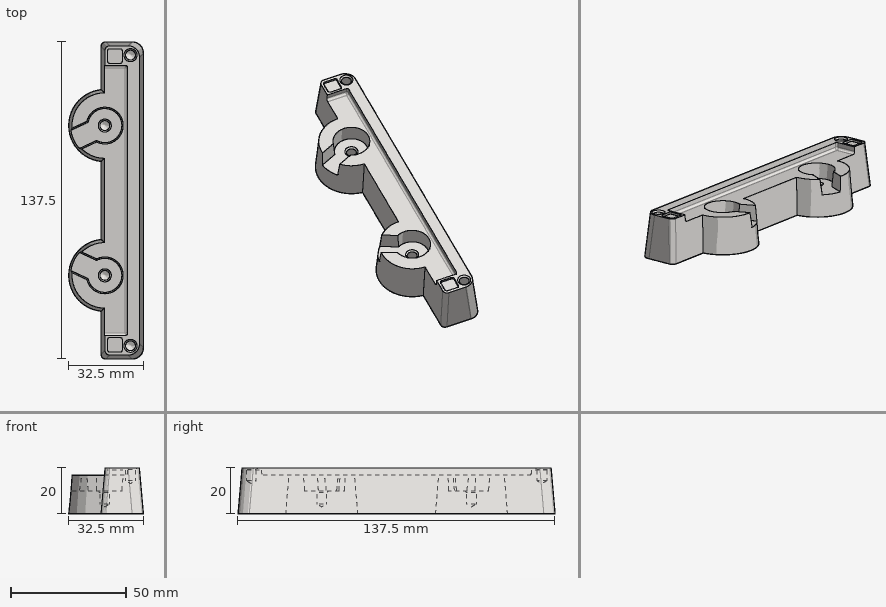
import cadquery as cq
import math

WIDTH = 32.5
LENGTH = 137.5
HEIGHT = 20.0
DRAFT = 5.0

BAR_WIDTH = 18.4
BAR_LEFT = WIDTH - BAR_WIDTH
BACK_CORNER_RADIUS = 5.0
FRONT_CORNER_RADIUS = 2.0

RECESS_LENGTH = 116.9
RECESS_BACK = 25.6
RECESS_DEPTH = 3.2
RECESS_FILLET = 1.1
RECESS_CORNER_RADIUS = 0.8
LEDGE_Z = HEIGHT - RECESS_DEPTH

BOSS_RADIUS = 15.7
BOSS_Y = 32.5
SOCKET_RADIUS = 8.0
SOCKET_DEPTH = 6.9
SOCKET_FLOOR_Z = LEDGE_Z - SOCKET_DEPTH
SLOT_WIDTH = 9.9
SOCKET_DRAFT = 5.0
SLOT_ANGLE = 25.0

HOLE_DIAMETER = 4.3
MOUTH_DIAMETER = 5.6
HOLE_DEPTH = 5.5
DRILL_POINT_ANGLE = 118.0
END_HOLE_X = 26.8
END_HOLE_Y = 63.0

POCKET_SIZE = 6.3
POCKET_DEPTH = 1.0
POCKET_CORNER_RADIUS = 0.8
POCKET_X = 20.1
POCKET_Y = 62.5


def make_bar():
    """Drafted bar with rounded upright corners."""
    bar = (
        cq.Workplane("XY")
        .center(BAR_LEFT + BAR_WIDTH / 2, 0)
        .rect(BAR_WIDTH, LENGTH)
        .extrude(HEIGHT, taper=DRAFT)
    )
    bar = bar.edges("not(#Z)").edges("<X").fillet(FRONT_CORNER_RADIUS)
    return bar.edges("not(#Z)").edges(">X").fillet(BACK_CORNER_RADIUS)


def make_recess():
    """Cutter open towards the bosses, with a filleted floor edge."""
    cutter = (
        cq.Workplane("XY", origin=(0, 0, LEDGE_Z))
        .center(RECESS_BACK / 2, 0)
        .rect(RECESS_BACK, RECESS_LENGTH)
        .extrude(RECESS_DEPTH)
    )
    cutter = cutter.edges("|Z and >X").fillet(RECESS_CORNER_RADIUS)
    return cutter.faces("<Z").edges("not(<X)").fillet(RECESS_FILLET)


def make_boss(y):
    """Drafted round boss, level with the recess floor."""
    return cq.Workplane("XY").center(BOSS_RADIUS, y).circle(BOSS_RADIUS).extrude(LEDGE_Z, taper=DRAFT)


def make_socket(y, slot_angle):
    """Drafted round socket with a slot leaving through the boss wall."""
    top = cq.Workplane("XY", origin=(BOSS_RADIUS, y, LEDGE_Z))
    slot = (
        top.center(-BOSS_RADIUS, 0)
        .rect(2 * BOSS_RADIUS, SLOT_WIDTH)
        .extrude(-SOCKET_DEPTH, taper=SOCKET_DRAFT)
        .rotate((BOSS_RADIUS, y, 0), (BOSS_RADIUS, y, 1), slot_angle)
    )
    return top.circle(SOCKET_RADIUS).extrude(-SOCKET_DEPTH, taper=SOCKET_DRAFT).union(slot)


def make_hole(x, y, top_z):
    """Countersunk blind hole, revolved about its axis."""
    radius = HOLE_DIAMETER / 2
    mouth_radius = MOUTH_DIAMETER / 2
    chamfer = mouth_radius - radius
    point_depth = radius / math.tan(math.radians(DRILL_POINT_ANGLE / 2))
    return (
        cq.Workplane("XZ", origin=(x, y, top_z))
        .polyline([
            (0, 0),
            (mouth_radius, 0),
            (radius, -chamfer),
            (radius, -HOLE_DEPTH),
            (0, -HOLE_DEPTH - point_depth),
        ])
        .close()
        .revolve(360, (0, 0), (0, 1))
    )


def make_pocket(y):
    """Square pocket with rounded corners."""
    return (
        cq.Workplane("XY", origin=(POCKET_X, y, HEIGHT - POCKET_DEPTH))
        .rect(POCKET_SIZE, POCKET_SIZE)
        .extrude(POCKET_DEPTH)
        .edges("|Z")
        .fillet(POCKET_CORNER_RADIUS)
    )


result = make_bar().cut(make_recess())

for side in (-1, 1):
    result = result.union(make_boss(side * BOSS_Y))

for side in (-1, 1):
    result = result.cut(make_socket(side * BOSS_Y, side * SLOT_ANGLE))
    result = result.cut(make_hole(BOSS_RADIUS, side * BOSS_Y, SOCKET_FLOOR_Z))
    result = result.cut(make_hole(END_HOLE_X, side * END_HOLE_Y, HEIGHT))
    result = result.cut(make_pocket(side * POCKET_Y))